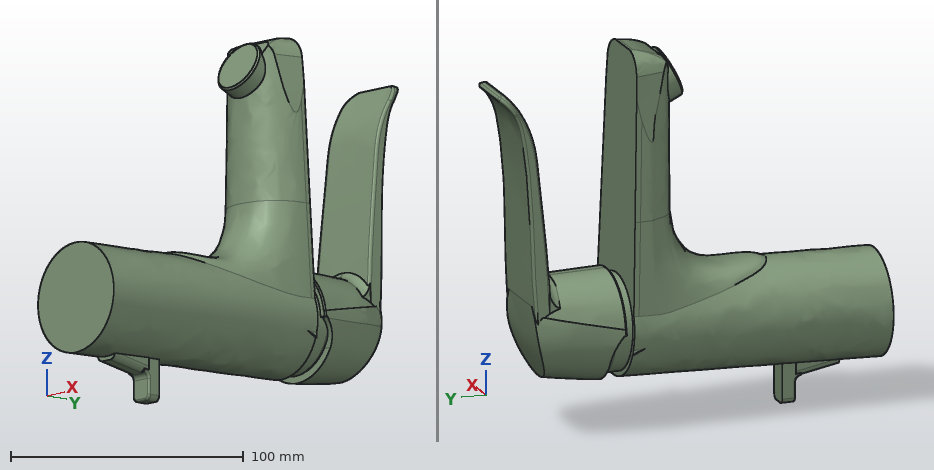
import cadquery as cq
import math


end_radius = 24.15
back_radius = 23.85
body_length = 120.0
back_axis_z = 3.9
back_bottom_z = back_axis_z - back_radius
back_tilt = math.tan(math.radians(1.67))

spout_top_z = 127.8
spout_front_y = 95.9
spout_width_slope = 0.041
spout_base_half_width = 22.82
spout_back_land = 2.4
bow_fullness = 2.2
bow_steps = 10
spout_corner_radius = 10.5
throat_top_z = 54.0
throat_reach = 26.1
throat_drop = 27.6
throat_back_z = 15.8
throat_steps = 4
saddle_front_y = 50.0
saddle_front_z = 25.55
saddle_back_z = -4.9
crown_back_y = 114.2
crown_front_y = 101.3
crown_front_z = 124.0
crown_bulge = 0.6
crown_edge_radius = 2.0
crown_blend_z = 110.0
crown_margin = 0.5
crown_front_run = 7.0
arch_back_y = 120.0
arch_back_half_width = 17.78
arch_back_top_z = 128.2
arch_foot_margin = 2.0
arch_front_y = 94.0
arch_front_top_z = 126.5
arch_front_half_width = 11.5
arch_front_radius = 9.5
outer_reach = 60.0
overlap = 1.0

nozzle_radius = 12.0
nozzle_length = 9.0
nozzle_chamfer = 0.8
nozzle_tilt = 25.5
nozzle_face_y = 94.5
nozzle_face_z = 114.2

hub_z = 4.1
neck_radius = 21.7
neck_end_y = 129.6
neck_edge_radius = 2.5

rim_y = 122.9
rim_radius = 24.82
rim_chamfer = 0.7
cap_sections = [
    (rim_y, hub_z, rim_radius, rim_radius),
    (147.5, 5.2, 21.9, 23.3),
    (155.5, 5.8, 20.2, 22.3),
    (165.0, 6.6, 16.8, 20.5),
]
cap_corner_y = 154.4
cap_corner_z = -16.8
cap_back_points = [(161.4, 4.0), (163.0, 26.0)]
cap_back_tangents = [(0.4, 1), (0.04, 1)]
seam_rim_z = 7.2
seam_slope = 0.21
seam_step = 0.3
rim_relief_y = 129.3
rim_relief_start_y = 124.1
rim_relief_top_z = 4.7
rim_relief_middle = (128.0, -1.7)
rim_relief_bottom_z = -7.5
lever_tip_z = 115.6
lever_tip_half_width = 15.6
lever_base_half_width = 17.9
lever_waist_half_width = 16.7
lever_waist_z = 42.0
lever_corner_radius = 9.0
lever_foot_z = 5.0
lever_back_path = [(161.4, 6.0), (163.7, 37.0), (165.6, 78.6), (167.0, 90.0), (171.2, 105.6), (178.75, 113.25)]
lever_inner_path = [(174.9, 115.0), (168.0, 106.3), (161.6, 90.0), (160.1, 78.6), (155.7, 31.3), (154.8, 10.0)]
lever_edge_radius = 1.2
root_start_y = 150.0
root_length = 6.0
root_radius = 6.6
root_steps = 4
root_centre_z = 5.6
root_half_width = 20.7
root_half_height = 22.6

pull_back_y = 44.0
pull_front_y = 37.8
pull_tail_y = 17.8
pull_bottom_z = -40.44
pull_width = 10.2
pull_bend_z = -31.0
pull_bend_y = 35.4
pull_bend_top_z = -28.5
pull_tail_z = -25.3
pull_top_z = -15.0
pull_corner_radius = 2.5
pull_tip_radius = 1.0
gusset_start_z = -29.0
gusset_width = 11.0
gusset_edge_radius = 3.0


def back_y(z):
    """Y of the tilted back plane of body and spout at height z."""
    return body_length - back_tilt * (z - back_bottom_z)


def spout_half_width(z):
    """Half width of the spout at height z, tapering upward."""
    return spout_base_half_width - spout_width_slope * z


def side_slab(outline):
    """Extrude a side outline, drawn in (Y, Z), right across the part in X."""
    return outline.close().extrude(2 * outer_reach).translate((-outer_reach, 0, 0))


def make_body():
    rise = back_axis_z / body_length
    long_end = body_length + back_tilt * outer_reach
    barrel = (
        cq.Workplane("XZ")
        .circle(end_radius)
        .workplane(offset=-long_end)
        .center(0, rise * long_end)
        .circle(back_radius)
        .loft(combine=True)
    )
    keep = side_slab(
        cq.Workplane("YZ")
        .moveTo(0, -outer_reach)
        .lineTo(back_y(-outer_reach), -outer_reach)
        .lineTo(back_y(outer_reach), outer_reach)
        .lineTo(0, outer_reach)
    )
    return barrel.intersect(keep)


def spout_section(front_y, front_z, back_z):
    """D-shaped wire: flat back, short flanks and a full, rounded (superelliptic) front."""
    start_y = back_y(back_z)
    run = front_y - start_y
    climb = front_z - back_z
    depth = math.hypot(run, climb)
    half_width = spout_half_width(back_z)
    bow = []
    for step in range(bow_steps + 1):
        angle = math.pi * step / bow_steps
        across = math.copysign(abs(math.cos(angle)) ** (2 / bow_fullness), math.cos(angle))
        forward = abs(math.sin(angle)) ** (2 / bow_fullness)
        bow.append((half_width * across, spout_back_land + (depth - spout_back_land) * forward))
    plane = cq.Plane(
        origin=(0, start_y, back_z), xDir=(1, 0, 0), normal=(0, -climb / depth, run / depth)
    )
    return (
        cq.Workplane(plane)
        .moveTo(half_width, 0)
        .lineTo(half_width, spout_back_land)
        .spline(bow, tangents=[(0, 1), (0, -1)])
        .lineTo(-half_width, 0)
        .close()
        .wire()
        .val()
    )


def arch_sketch(top_half_width, top_z, corner_radius):
    """Round-shouldered outline that trims the top of the spout."""
    foot_half_width = spout_half_width(throat_top_z) + arch_foot_margin
    foot_z = throat_top_z - overlap
    return (
        cq.Sketch()
        .polygon(
            [
                (-foot_half_width, foot_z),
                (-top_half_width, top_z),
                (top_half_width, top_z),
                (foot_half_width, foot_z),
                (-foot_half_width, foot_z),
            ]
        )
        .vertices(">Y")
        .fillet(corner_radius)
    )


def make_spout():
    column_end_z = spout_top_z + 5 * overlap
    column = cq.Solid.makeLoft(
        [
            spout_section(spout_front_y, throat_top_z, throat_top_z),
            spout_section(spout_front_y, column_end_z, column_end_z),
        ],
        True,
    )
    throat_sections = []
    for step in range(throat_steps + 1):
        share = step / throat_steps
        angle = share * math.pi / 2
        front_y = spout_front_y - throat_reach * (1 - math.cos(angle))
        front_z = throat_top_z - throat_drop * math.sin(angle)
        edge_z = throat_top_z + share * (throat_back_z - throat_top_z)
        throat_sections.append(spout_section(front_y, front_z, edge_z))
    throat_sections.append(spout_section(saddle_front_y, saddle_front_z, saddle_back_z))
    throat = cq.Solid.makeLoft(throat_sections)

    arch = (
        cq.Workplane("XZ", origin=(0, arch_back_y, 0))
        .placeSketch(
            arch_sketch(arch_back_half_width, arch_back_top_z, spout_corner_radius),
            arch_sketch(arch_front_half_width, arch_front_top_z, arch_front_radius).moved(
                cq.Location(cq.Vector(0, 0, arch_back_y - arch_front_y))
            ),
        )
        .loft()
    )
    crown_front_drop = crown_front_run / math.tan(math.radians(nozzle_tilt))
    mid_y = (crown_back_y + crown_front_y) / 2
    mid_z = (spout_top_z + crown_front_z) / 2 + crown_bulge
    crown = side_slab(
        cq.Workplane("YZ")
        .moveTo(2 * outer_reach, spout_top_z)
        .lineTo(crown_back_y, spout_top_z)
        .threePointArc((mid_y, mid_z), (crown_front_y, crown_front_z))
        .lineTo(crown_front_y - crown_front_run, crown_front_z - crown_front_drop)
        .lineTo(crown_front_y - crown_front_run, 0)
        .lineTo(2 * outer_reach, 0)
    )
    column = cq.Workplane(column).intersect(arch).intersect(crown)
    crown_sides = cq.selectors.BoxSelector(
        (-outer_reach, crown_front_y + crown_margin, crown_blend_z),
        (outer_reach, crown_back_y - crown_margin, 2 * spout_top_z),
    )
    column = column.edges(crown_sides).fillet(crown_edge_radius)
    return column.union(cq.Workplane(throat))


def make_nozzle():
    tilt = math.radians(nozzle_tilt)
    face = cq.Plane(
        origin=(0, nozzle_face_y, nozzle_face_z),
        xDir=(1, 0, 0),
        normal=(0, -math.cos(tilt), math.sin(tilt)),
    )
    disc = cq.Workplane(face).circle(nozzle_radius).extrude(-nozzle_length)
    return disc.faces("<Y").chamfer(nozzle_chamfer)


def make_neck():
    start_y = back_y(hub_z + neck_radius) - overlap
    neck = (
        cq.Workplane("XZ", origin=(0, start_y, hub_z))
        .circle(neck_radius)
        .extrude(start_y - neck_end_y)
    )
    return neck.faces(">Y").edges().fillet(neck_edge_radius)


def cap_shell(inset):
    """Tapering cap shell, shrunk by the given inset."""
    wires = []
    for y, centre_z, half_width, half_height in cap_sections:
        section = cq.Workplane("XZ", origin=(0, y, centre_z))
        section = section.ellipse(half_width - inset, half_height - inset)
        wires.append(section.wire().val())
    return cq.Workplane(cq.Solid.makeLoft(wires)).faces("<Y").chamfer(rim_chamfer)


def make_cap():
    """Cap with its upper shell stepped in along a sloping seam."""
    upper = side_slab(
        cq.Workplane("YZ")
        .moveTo(rim_y - outer_reach, seam_rim_z - outer_reach * seam_slope)
        .lineTo(rim_y + outer_reach, seam_rim_z + outer_reach * seam_slope)
        .lineTo(rim_y + outer_reach, outer_reach)
        .lineTo(rim_y - outer_reach, outer_reach)
    )
    cap = cap_shell(0).cut(upper).union(cap_shell(seam_step).intersect(upper))

    keep = side_slab(
        cq.Workplane("YZ")
        .moveTo(rim_y - overlap, outer_reach)
        .lineTo(rim_y - overlap, rim_relief_top_z)
        .lineTo(rim_relief_start_y, rim_relief_top_z)
        .threePointArc(rim_relief_middle, (rim_relief_y, rim_relief_bottom_z))
        .lineTo(rim_relief_y, -outer_reach)
        .lineTo(cap_corner_y, -outer_reach)
        .lineTo(cap_corner_y, cap_corner_z)
        .spline(cap_back_points, tangents=cap_back_tangents, includeCurrent=True)
        .lineTo(cap_back_points[-1][0], outer_reach)
    )
    return cap.intersect(keep)


def lever_outline():
    """Prism along Y with the tapering, round-cornered outline of the lever."""
    return (
        cq.Workplane("XZ")
        .moveTo(-lever_base_half_width, lever_foot_z)
        .spline(
            [(-lever_waist_half_width, lever_waist_z), (-lever_tip_half_width, lever_tip_z)],
            includeCurrent=True,
        )
        .lineTo(lever_tip_half_width, lever_tip_z)
        .spline(
            [(lever_waist_half_width, lever_waist_z), (lever_base_half_width, lever_foot_z)],
            includeCurrent=True,
        )
        .close()
        .extrude(-4 * outer_reach)
        .edges("|Y and >Z")
        .fillet(lever_corner_radius)
    )


def make_lever_root():
    """Concave flare that blends the top of the cap into the lever."""
    wires = []
    for step in range(root_steps + 1):
        run = root_length * step / root_steps
        growth = root_radius - math.sqrt(root_radius ** 2 - run ** 2)
        section = cq.Workplane("XZ", origin=(0, root_start_y + run, root_centre_z))
        section = section.ellipse(root_half_width + growth, root_half_height + growth)
        wires.append(section.wire().val())
    return cq.Workplane(cq.Solid.makeLoft(wires)).intersect(lever_outline())


def make_lever():
    side = side_slab(
        cq.Workplane("YZ")
        .moveTo(lever_inner_path[-1][0], lever_foot_z)
        .lineTo(lever_back_path[0][0], lever_foot_z)
        .lineTo(*lever_back_path[0])
        .spline(lever_back_path[1:], includeCurrent=True)
        .lineTo(*lever_inner_path[0])
        .spline(lever_inner_path[1:], includeCurrent=True)
    )
    lever = side.intersect(lever_outline())
    blade_zone = cq.selectors.BoxSelector(
        (-outer_reach, rim_y, lever_foot_z + 2 * overlap), (outer_reach, 2 * rim_y, 2 * lever_tip_z)
    )
    blade_edges = lever.edges(blade_zone)
    return blade_edges.fillet(lever_edge_radius)


def make_pull():
    stem = (
        cq.Workplane("YZ")
        .moveTo(pull_back_y, pull_top_z)
        .lineTo(pull_back_y, pull_bottom_z)
        .lineTo(pull_front_y, pull_bottom_z)
        .lineTo(pull_front_y, pull_bend_z)
        .tangentArcPoint((pull_bend_y, pull_bend_top_z), relative=False)
        .lineTo(pull_bend_y, pull_top_z)
        .close()
        .extrude(pull_width / 2, both=True)
    )
    stem = stem.edges("<Z").edges("|Y").fillet(pull_corner_radius)
    stem = stem.edges("|X").edges("<Z").edges("<Y").fillet(pull_tip_radius)
    gusset = (
        cq.Workplane("YZ")
        .moveTo(pull_front_y, pull_top_z)
        .lineTo(pull_front_y, gusset_start_z)
        .lineTo(pull_tail_y, pull_tail_z)
        .lineTo(pull_tail_y, pull_top_z)
        .close()
        .extrude(gusset_width / 2, both=True)
    )
    return stem.union(gusset.faces("<Z").edges("not |X").fillet(gusset_edge_radius))


result = make_body().union(make_spout()).union(make_nozzle()).union(make_neck())
result = result.union(make_cap().union(make_lever_root()).union(make_lever())).union(make_pull())